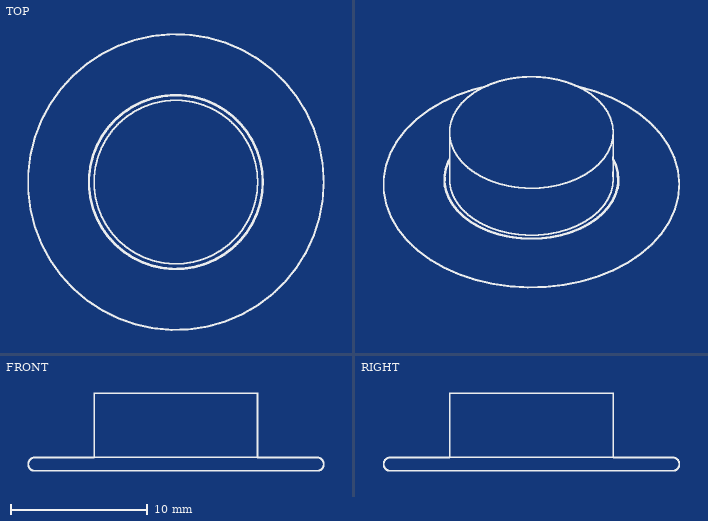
import cadquery as cq

disc_diameter = 21.7
disc_thickness = 1.0
recess_diameter = 12.8
recess_depth = disc_thickness / 2

total_height = 5.7
flange_diameter = 12.7
plug_diameter = 12.0
recess_floor = disc_thickness - recess_depth


def make_disc():
    """Revolve a half section that ends in a half circle, then cut the recess."""
    rim_radius = disc_thickness / 2
    outer_radius = disc_diameter / 2
    flat_radius = outer_radius - rim_radius
    section = (
        cq.Workplane("XZ")
        .lineTo(flat_radius, 0)
        .threePointArc((outer_radius, rim_radius), (flat_radius, disc_thickness))
        .lineTo(0, disc_thickness)
        .close()
    )
    blank = section.revolve(360, (0, 0, 0), (0, 1, 0))
    recess = (
        cq.Workplane("XY", origin=(0, 0, recess_floor))
        .circle(recess_diameter / 2)
        .extrude(recess_depth)
    )
    return blank.cut(recess)


def make_plug():
    """Stand the round plug on the recess floor and add its slightly wider flange."""
    floor_plane = cq.Workplane("XY", origin=(0, 0, recess_floor))
    flange = floor_plane.circle(flange_diameter / 2).extrude(recess_depth)
    post = floor_plane.circle(plug_diameter / 2).extrude(total_height - recess_floor)
    return flange.union(post)


disc = make_disc()
plug = make_plug()

result = cq.Compound.makeCompound([disc.val(), plug.val()])